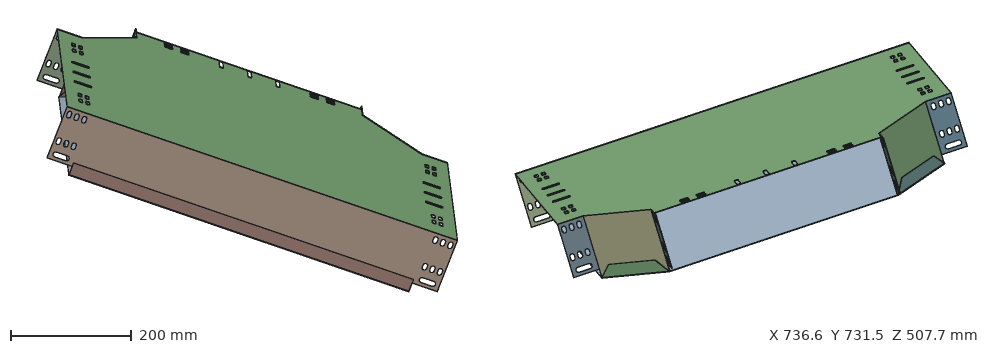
import cadquery as cq
import math


SPIN = -53.85
TILT = 34.15
AZIMUTH = 120.05

SHEET = 1.1
WIDTH = 401.0
GUSSET = 100.0
COLLAR = 45.0
FLOOR_SETBACK = 16.0
WALL_DEPTH = 110.5
COLLAR_DEPTH = 96.0

LID_FLANGE = 23.0

HOLE_LENGTH = 12.0
HOLE_WIDTH = 7.5
HOLE_PITCH = 13.0
HOLE_END_DISTANCE = 21.5
HOLE_ROW_DEPTHS = (12.5, 62.0)
COLLAR_SLOT_LENGTH = 28.0
COLLAR_SLOT_WIDTH = 9.0
COLLAR_SLOT_DEPTH = 85.5

LONG_SLOT_LENGTH = 31.0
LONG_SLOT_WIDTH = 7.0
LONG_SLOT_PITCH = 50.0
LONG_SLOT_END_DISTANCE = 35.0
SHORT_SLOT_LENGTH = 15.0
SHORT_SLOT_WIDTH = 7.0
SHORT_SLOT_ROWS = (26.5, 39.0)
SHORT_SLOT_CENTRE = 129.0
SHORT_SLOT_PITCH = 29.0

HALF_WIDTH = WIDTH / 2
RUN_END = HALF_WIDTH + GUSSET + COLLAR
BRANCH_END = WIDTH + GUSSET + COLLAR
DIAGONAL_SUM = HALF_WIDTH + GUSSET + WIDTH
CLEARANCE = 7.5


def prism(points, top, bottom):
    """Vertical prism over a plan outline."""
    return cq.Workplane("XY").workplane(offset=bottom).polyline(points).close().extrude(top - bottom)


def mirrored(right_half):
    """Closed outline from its right half, listed from the back to the branch."""
    return right_half + [(-x, y) for x, y in reversed(right_half)]


def tee_outline(inset, run_end, branch_end):
    """Tee plan with its back, front, branch and corner walls moved inwards by `inset`."""
    front = WIDTH - inset
    side = HALF_WIDTH - inset
    diagonal = DIAGONAL_SUM - inset * math.sqrt(2)
    return mirrored([
        (run_end, inset),
        (run_end, front),
        (diagonal - front, front),
        (side, diagonal - side),
        (side, branch_end),
    ])


def openings():
    """Frames at the middle of each opening's floor edge, x pointing inwards along the floor."""
    return [
        cq.Plane((RUN_END, HALF_WIDTH, 0), xDir=(-1, 0, 0)),
        cq.Plane((-RUN_END, HALF_WIDTH, 0), xDir=(1, 0, 0)),
        cq.Plane((0, BRANCH_END, 0), xDir=(0, -1, 0)),
    ]


def slot_cutters(plane, places, length, width, angle, reach):
    """Round-ended slot cutters at several places, reaching to both sides of a plane."""
    slots = cq.Workplane(plane).pushPoints(places).slot2D(length, width, angle)
    return slots.extrude(reach, both=True)


def floor_slots(opening):
    """Cutters for three long slots and two groups of four short slots at one opening."""
    long_places = [(LONG_SLOT_END_DISTANCE, i * LONG_SLOT_PITCH) for i in (-1, 0, 1)]
    short_places = [
        (distance, side * SHORT_SLOT_CENTRE + end * SHORT_SLOT_PITCH / 2)
        for distance in SHORT_SLOT_ROWS
        for side in (-1, 1)
        for end in (-1, 1)
    ]
    long_slots = slot_cutters(opening, long_places, LONG_SLOT_LENGTH, LONG_SLOT_WIDTH, 0, CLEARANCE)
    short_slots = slot_cutters(opening, short_places, SHORT_SLOT_LENGTH, SHORT_SLOT_WIDTH, 90, CLEARANCE)
    return long_slots.union(short_slots)


def collar_holes(opening):
    """Cutters through both collars of one opening: two rows of three upright holes and a slot."""
    middle = cq.Plane(opening.origin, xDir=opening.xDir, normal=opening.yDir)
    up = middle.yDir.z
    reach = HALF_WIDTH + CLEARANCE
    hole_places = [
        (HOLE_END_DISTANCE + i * HOLE_PITCH, -up * depth)
        for depth in HOLE_ROW_DEPTHS
        for i in (-1, 0, 1)
    ]
    slot_places = [(HOLE_END_DISTANCE, -up * COLLAR_SLOT_DEPTH)]
    holes = slot_cutters(middle, hole_places, HOLE_LENGTH, HOLE_WIDTH, 90, reach)
    slot = slot_cutters(middle, slot_places, COLLAR_SLOT_LENGTH, COLLAR_SLOT_WIDTH, 0, reach)
    return holes.union(slot)


def collar_notch(opening):
    """Cutter that shortens both collars of one opening."""
    return (
        cq.Workplane(opening)
        .workplane(offset=-WALL_DEPTH)
        .center(COLLAR / 2, 0)
        .rect(COLLAR, WIDTH + CLEARANCE)
        .extrude(WALL_DEPTH - COLLAR_DEPTH)
    )


def build_tray():
    """Tray floor and walls, open at the three ends and below, with its slots and holes."""
    tray = prism(tee_outline(0, RUN_END, BRANCH_END), 0, -WALL_DEPTH)
    interior = tee_outline(SHEET, RUN_END + CLEARANCE, BRANCH_END + CLEARANCE)
    tray = tray.cut(prism(interior, -SHEET, -WALL_DEPTH))

    setback = cq.Workplane("XY").box(WIDTH - 2 * SHEET, 2 * FLOOR_SETBACK, 2 * CLEARANCE)
    tray = tray.cut(setback.translate((0, BRANCH_END, 0)))

    for opening in openings():
        tray = tray.cut(collar_notch(opening))
        tray = tray.cut(floor_slots(opening))
        tray = tray.cut(collar_holes(opening))
    return tray


def corner_flange(side, length):
    """Lid flange along one corner wall, with 45 degree mitred ends; `side` is 1 or -1."""
    wall_middle = (side * (HALF_WIDTH + GUSSET / 2), WIDTH + GUSSET / 2, -WALL_DEPTH)
    wall = cq.Plane(wall_middle, xDir=(-1, side, 0), normal=(side, 1, 0))
    rise = wall.yDir.z
    tip = LID_FLANGE - SHEET
    outline = [
        (-length / 2, 0),
        (length / 2, 0),
        (length / 2 - tip, rise * tip),
        (-length / 2 + tip, rise * tip),
    ]
    return cq.Workplane(wall).polyline(outline).close().extrude(SHEET)


def build_lid():
    """Flat lid whose flanges lie against the outside of the back and corner walls."""
    diagonal = DIAGONAL_SUM + SHEET * math.sqrt(2)
    front = WIDTH + SHEET
    side = HALF_WIDTH + SHEET
    lid_end = diagonal - front
    outline = mirrored([(lid_end, -SHEET), (lid_end, front), (side, diagonal - side)])
    lid = prism(outline, -WALL_DEPTH, -WALL_DEPTH - SHEET)

    back_flange = cq.Workplane("XY").box(2 * lid_end, SHEET, LID_FLANGE, centered=(True, False, False))
    lid = lid.union(back_flange.translate((0, -SHEET, -WALL_DEPTH - SHEET)))
    for side_sign in (-1, 1):
        lid = lid.union(corner_flange(side_sign, (lid_end - side) * math.sqrt(2)))
    return lid


def placed(body):
    """Body turned from its modelling attitude into its final one."""
    centre = (0, 0, 0)
    body = body.rotate(centre, (0, 0, 1), SPIN)
    body = body.rotate(centre, (0, 1, 0), TILT)
    return body.rotate(centre, (0, 0, 1), AZIMUTH)


tray = placed(build_tray())
lid = placed(build_lid())
result = cq.Compound.makeCompound([tray.val(), lid.val()])